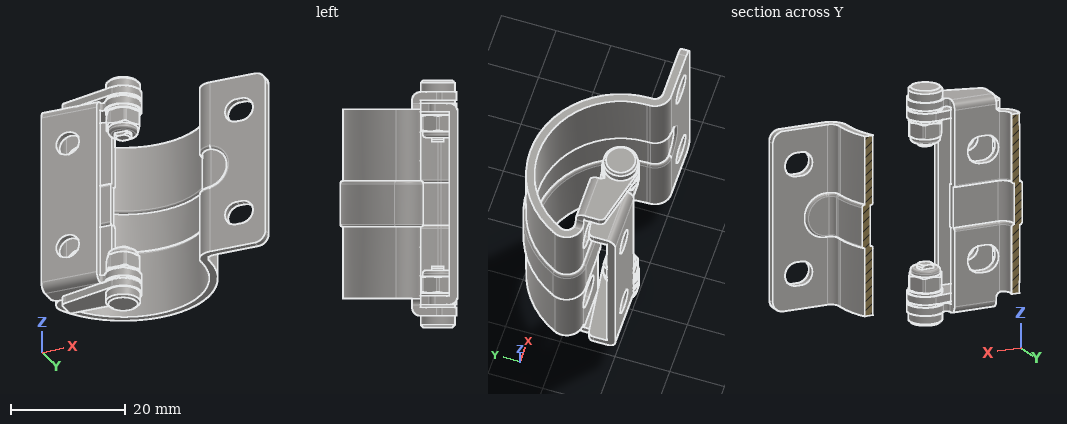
import cadquery as cq
import math

OVERALL_LENGTH = 44.1
OVERALL_HEIGHT = 43.0

SHEET = 1.5
PIN_AXIS_HEIGHT = 3.5
MOUNT_Y = -PIN_AXIS_HEIGHT

STRAP_HALF_WIDTH = 16.5
STRAP_RADIUS = 15.0
LEAF_BEND_RADIUS = 1.5
LEAF_TOP_Y = 4.5
FLANGE_BEND_RADIUS = 1.5
FLANGE_BEND_END = 18.0
FLANGE_CORNER_RADIUS = 2.0

BEAD_HEIGHT = 0.5
BEAD_HALF_WIDTH = 4.0
GROOVE_HALF_WIDTH = 3.7
BEAD_END = 18.4
GROOVE_END = 17.3

HOLE_PITCH = 20.0
BRACKET_HOLE_DIAMETER = 4.3
FLANGE_SLOT_WIDTH = 4.3
LEAF_SLOT_WIDTH = 5.0
SLOT_STRETCH = 0.95
FLANGE_SLOT_X = 23.5
LEAF_HOLE_X = -9.0

LUG_RADIUS = 3.25
LEAF_EDGE_X = -3.5
STRAP_LUG_X = -11.55
STRAP_LUG_SLOPE = 14.0
STRAP_LUG_CORNER = 1.0
STRAP_NOTCH_RADIUS = 0.6
RELIEF_RADIUS = 1.0

BRACKET_HALF_HEIGHT = 17.5
BRACKET_X = -14.0
BRACKET_LUG_SLOPE = 7.5
BRACKET_LUG_CORNER = 1.0
BRACKET_NOTCH_RADIUS = 0.4

HEAD_RADIUS = 3.0
HEAD_CHAMFER = 0.45
SHANK_RADIUS = 1.5
SHANK_CHAMFER = 0.3
SHANK_STICKOUT = 0.7
TIP_ACROSS_FLATS = 2.1
WASHER = 0.5
NUT_FLANGE = 0.5
NUT_HEX_HEIGHT = 2.95
NUT_ACROSS_FLATS = 5.5
NUT_EDGE_ROUND = 0.5
NUT_CONE_HEIGHT = 0.25
COLLAR_HEIGHT = 1.0
COLLAR_RADIUS = 2.6
COLLAR_ROUND = 0.5

LEAF_BEND_Y = LEAF_TOP_Y + LEAF_BEND_RADIUS
LEAF_BEND_X = -math.sqrt((STRAP_RADIUS - LEAF_BEND_RADIUS) ** 2 - LEAF_BEND_Y ** 2)
STRAP_LEFT = LEAF_BEND_X - LEAF_BEND_RADIUS - SHEET - BEAD_HEIGHT
FLANGE_EDGE_X = STRAP_LEFT + OVERALL_LENGTH
FLANGE_BEND_Y = MOUNT_Y + SHEET + FLANGE_BEND_RADIUS
LEAF_BOTTOM_Y = LEAF_TOP_Y - SHEET
STRAP_LUG_Z = BRACKET_HALF_HEIGHT + WASHER
STRAP_LUG_TOP = STRAP_LUG_Z + SHEET
BRACKET_LUG_Z = BRACKET_HALF_HEIGHT - SHEET


def point_on(centre, radius, degrees):
    """Point of a circle at an angle counted from +X."""
    angle = math.radians(degrees)
    return (centre[0] + radius * math.cos(angle), centre[1] + radius * math.sin(angle))


def both_ends(upper):
    """The upper feature together with its mirror image at the lower end."""
    return upper.union(upper.mirror("XY"))


def screw_places(x, y):
    """Centres of a pair of screw holes, on a plane facing +Y."""
    plane = cq.Plane(origin=(x, y, 0), xDir=(1, 0, 0), normal=(0, 1, 0))
    return cq.Workplane(plane).pushPoints([(0, HOLE_PITCH / 2), (0, -HOLE_PITCH / 2)])


def disc(radius, bottom_z, height):
    return cq.Workplane("XY", origin=(0, 0, bottom_z)).circle(radius).extrude(height)


def lug(far_x, plate_y, slope, corner_radius, notch_radius, bottom_z):
    """Lug with a round eye about the pin axis, joining a plate that ends at +`plate_y`."""
    slope_angle = math.radians(slope)
    far_y = -LUG_RADIUS / math.cos(slope_angle) - far_x * math.tan(slope_angle)
    tangent_angle = -90 - slope
    notch_x = LEAF_EDGE_X + notch_radius
    notch_y = math.sqrt((LUG_RADIUS + notch_radius) ** 2 - notch_x ** 2)
    notch = (notch_x, notch_y)
    eye_angle = math.degrees(math.atan2(notch_y, notch_x))
    notch_mid_angle = 180 + eye_angle / 2
    eye_mid_angle = (eye_angle + tangent_angle) / 2
    eye_start = point_on((0, 0), LUG_RADIUS, eye_angle)
    eye_middle = point_on((0, 0), LUG_RADIUS, eye_mid_angle)
    eye_end = point_on((0, 0), LUG_RADIUS, tangent_angle)
    blank = (
        cq.Workplane("XY", origin=(0, 0, bottom_z))
        .moveTo(far_x, plate_y)
        .lineTo(LEAF_EDGE_X, plate_y)
        .lineTo(LEAF_EDGE_X, notch_y)
        .threePointArc(point_on(notch, notch_radius, notch_mid_angle), eye_start)
        .threePointArc(eye_middle, eye_end)
        .lineTo(far_x, far_y)
        .close()
        .extrude(SHEET)
    )
    return blank.edges("|Z and <X").edges("<Y").fillet(corner_radius)



def strap_edges(depth, end_x):
    """Edges of a curve running `depth` outside the inner face, up to `end_x` or the bend end."""
    leaf_centre = (LEAF_BEND_X, LEAF_BEND_Y)
    leaf_radius = LEAF_BEND_RADIUS + depth
    arc_radius = STRAP_RADIUS + depth
    flange_centre = (FLANGE_BEND_END, FLANGE_BEND_Y)
    flange_radius = FLANGE_BEND_RADIUS + SHEET - depth
    join_angle = math.degrees(math.atan2(LEAF_BEND_Y, LEAF_BEND_X))
    leaf_mid_angle = (join_angle + 270) / 2

    leaf_start = (LEAF_EDGE_X, LEAF_TOP_Y - depth)
    bend_start = point_on(leaf_centre, leaf_radius, 270)
    arc_start = point_on((0, 0), arc_radius, join_angle)
    arc_end = (arc_radius, 0)
    flange_bend_start = point_on(flange_centre, flange_radius, 180)
    flange_bend_end = point_on(flange_centre, flange_radius, 270)

    def line(start, end):
        return cq.Edge.makeLine(cq.Vector(*start), cq.Vector(*end))

    def arc(start, middle, end):
        return cq.Edge.makeThreePointArc(cq.Vector(*start), cq.Vector(*middle), cq.Vector(*end))

    edges = [
        line(leaf_start, bend_start),
        arc(bend_start, point_on(leaf_centre, leaf_radius, leaf_mid_angle), arc_start),
        arc(arc_start, point_on((0, 0), arc_radius, join_angle / 2), arc_end),
        line(arc_end, flange_bend_start),
        arc(flange_bend_start, point_on(flange_centre, flange_radius, 225), flange_bend_end),
    ]
    if end_x > FLANGE_BEND_END:
        edges.append(line(flange_bend_end, (end_x, flange_bend_end[1])))
    return edges


def strap_sheet(half_width):
    """The bent sheet, `half_width` to each side of the middle."""
    inner = strap_edges(0, FLANGE_EDGE_X)
    outer = strap_edges(SHEET, FLANGE_EDGE_X)
    ends = [
        cq.Edge.makeLine(inner[0].startPoint(), outer[0].startPoint()),
        cq.Edge.makeLine(inner[-1].endPoint(), outer[-1].endPoint()),
    ]
    outline = cq.Wire.assembleEdges([ends[0], *outer, ends[1], *reversed(inner)])
    face = cq.Face.makeFromWires(outline)
    sheet = cq.Solid.extrudeLinear(face, cq.Vector(0, 0, 2 * half_width))
    return cq.Workplane(sheet.translate(cq.Vector(0, 0, -half_width)))


def swept_bead(depth, foot, crest, flank_middle, end_x):
    """Bead standing out of the surface at `depth`, with a round end on the flange at `end_x`."""
    path = cq.Workplane(cq.Wire.assembleEdges(strap_edges(depth, end_x)))
    start_plane = cq.Plane(
        origin=(LEAF_EDGE_X, LEAF_TOP_Y - depth, 0), xDir=(0, 0, -1), normal=(-1, 0, 0)
    )
    across, out = flank_middle
    band = (
        cq.Workplane(start_plane)
        .moveTo(-foot, 0)
        .threePointArc((-across, out), (-crest, BEAD_HEIGHT))
        .lineTo(crest, BEAD_HEIGHT)
        .threePointArc((across, out), (foot, 0))
        .close()
        .sweep(path)
    )
    end_plane = cq.Plane(origin=(end_x, MOUNT_Y + depth, 0), xDir=(0, 0, 1), normal=(-1, 0, 0))
    round_end = (
        cq.Workplane(end_plane)
        .lineTo(foot, 0)
        .threePointArc((across, out), (crest, BEAD_HEIGHT))
        .lineTo(0, BEAD_HEIGHT)
        .close()
        .revolve(180, (0, 0, 0), (0, 1, 0))
    )
    return band.union(round_end)


def raised_bead():
    """Outer side of the bead, with its edges rounded over."""
    crest = BEAD_HALF_WIDTH - BEAD_HEIGHT
    flank_middle = point_on((crest, 0), BEAD_HEIGHT, 45)
    return swept_bead(SHEET, BEAD_HALF_WIDTH, crest, flank_middle, BEAD_END)


def hollow_groove():
    """Inner side of the bead, with a flared mouth."""
    mouth = GROOVE_HALF_WIDTH + BEAD_HEIGHT
    flank_middle = point_on((mouth, BEAD_HEIGHT), BEAD_HEIGHT, 225)
    return swept_bead(0, mouth, GROOVE_HALF_WIDTH, flank_middle, GROOVE_END)


def slot_pair(x, y, width):
    """Pair of slot cutters through the sheet whose lower face is at `y`."""
    return screw_places(x, y).slot2D(width + SLOT_STRETCH, width).extrude(SHEET)


def strap_relief():
    """Upper hollow corner where the lug leaves the strap edge."""
    size = RELIEF_RADIUS
    corner = (STRAP_LUG_X - size, STRAP_HALF_WIDTH)
    block = (
        cq.Workplane("XZ")
        .moveTo(*corner)
        .lineTo(STRAP_LUG_X, corner[1])
        .lineTo(STRAP_LUG_X, corner[1] + size)
        .threePointArc(point_on((corner[0], corner[1] + size), size, 315), corner)
        .close()
        .extrude(-LEAF_BEND_Y)
    )
    return block.intersect(strap_sheet(STRAP_HALF_WIDTH + size))


def upper_strap_lug():
    """Strap lug bent over from a tab standing on the edge of the leaf."""
    tab = cq.Workplane("XY").box(
        LEAF_EDGE_X - STRAP_LUG_X, SHEET, STRAP_LUG_TOP - STRAP_HALF_WIDTH, centered=False
    ).translate((STRAP_LUG_X, LEAF_BOTTOM_Y, STRAP_HALF_WIDTH))
    plate = lug(
        STRAP_LUG_X, LEAF_TOP_Y, STRAP_LUG_SLOPE, STRAP_LUG_CORNER, STRAP_NOTCH_RADIUS, STRAP_LUG_Z
    )
    return tab.union(plate).edges("|X and >Z and >Y").fillet(SHEET).union(strap_relief())


def make_strap():
    """Curved strap with its bead, flange, hinge leaf and two lugs."""
    shank_hole = disc(SHANK_RADIUS, -OVERALL_HEIGHT / 2, OVERALL_HEIGHT)
    sheet = strap_sheet(STRAP_HALF_WIDTH).edges("|Y and >X").fillet(FLANGE_CORNER_RADIUS)
    return (
        sheet.union(raised_bead())
        .cut(hollow_groove())
        .cut(slot_pair(FLANGE_SLOT_X, MOUNT_Y, FLANGE_SLOT_WIDTH))
        .cut(slot_pair(LEAF_HOLE_X, LEAF_BOTTOM_Y, LEAF_SLOT_WIDTH))
        .union(both_ends(upper_strap_lug()))
        .cut(shank_hole)
    )



def bracket_sheet():
    """U-shaped bracket with a lug at each end and two screw holes."""
    plate = cq.Workplane("XY").box(
        LEAF_EDGE_X - BRACKET_X, SHEET, 2 * BRACKET_HALF_HEIGHT, centered=False
    ).translate((BRACKET_X, MOUNT_Y, -BRACKET_HALF_HEIGHT))
    upper_lug = lug(
        BRACKET_X,
        PIN_AXIS_HEIGHT,
        BRACKET_LUG_SLOPE,
        BRACKET_LUG_CORNER,
        BRACKET_NOTCH_RADIUS,
        BRACKET_LUG_Z,
    ).mirror("XZ")
    holes = screw_places(LEAF_HOLE_X, MOUNT_Y).circle(BRACKET_HOLE_DIAMETER / 2).extrude(SHEET)
    bent = plate.union(both_ends(upper_lug)).edges("|X and <Y").edges("<Z or >Z").fillet(SHEET)
    return bent.cut(holes)


def upper_pin():
    """Headed pin with its spacer washer and lock nut."""
    head_height = OVERALL_HEIGHT / 2 - STRAP_LUG_TOP
    flange_z = BRACKET_LUG_Z - NUT_FLANGE
    hex_z = flange_z - NUT_HEX_HEIGHT
    collar_z = hex_z - COLLAR_HEIGHT
    shank_z = collar_z - SHANK_STICKOUT
    corner_radius = NUT_ACROSS_FLATS / math.sqrt(3)

    head = disc(HEAD_RADIUS, STRAP_LUG_TOP, head_height).faces(">Z").chamfer(HEAD_CHAMFER)
    washer = disc(HEAD_RADIUS, BRACKET_HALF_HEIGHT, WASHER)
    nut_flange = disc(HEAD_RADIUS, flange_z, NUT_FLANGE)
    nut_limits = (
        cq.Workplane("XZ")
        .moveTo(0, hex_z)
        .lineTo(COLLAR_RADIUS, hex_z)
        .lineTo(corner_radius, hex_z + NUT_CONE_HEIGHT)
        .lineTo(corner_radius, flange_z - NUT_CONE_HEIGHT)
        .lineTo(COLLAR_RADIUS, flange_z)
        .lineTo(0, flange_z)
        .close()
        .revolve(360, (0, 0, 0), (0, 1, 0))
    )
    nut_hex = (
        cq.Workplane("XY", origin=(0, 0, hex_z))
        .polygon(6, 2 * corner_radius)
        .extrude(NUT_HEX_HEIGHT)
        .edges("|Z")
        .fillet(NUT_EDGE_ROUND)
        .intersect(nut_limits)
    )
    collar = disc(COLLAR_RADIUS, collar_z, COLLAR_HEIGHT).faces("<Z").edges().fillet(COLLAR_ROUND)
    shank = disc(SHANK_RADIUS, collar_z, STRAP_LUG_TOP - collar_z)
    tip_limits = cq.Workplane("XY", origin=(0, 0, shank_z)).rect(2 * SHANK_RADIUS, TIP_ACROSS_FLATS)
    tip = (
        disc(SHANK_RADIUS, shank_z, SHANK_STICKOUT)
        .faces("<Z")
        .chamfer(SHANK_CHAMFER)
        .intersect(tip_limits.extrude(SHANK_STICKOUT))
    )
    pin = shank
    for part in (head, washer, nut_flange, nut_hex, collar, tip):
        pin = pin.union(part)
    return pin


def make_bracket():
    """Bracket and the two pins fixed in its lugs."""
    return bracket_sheet().union(both_ends(upper_pin()))


strap = make_strap()
bracket = make_bracket()
result = cq.Compound.makeCompound([strap.solids().val(), bracket.solids().val()])